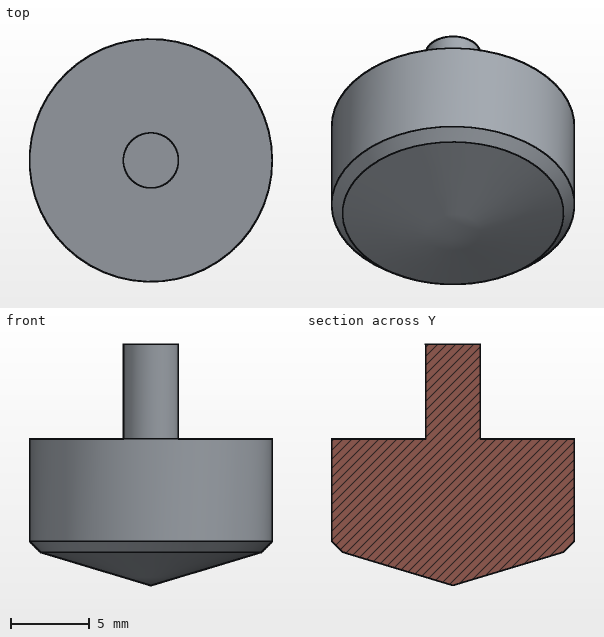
import cadquery as cq

total_height = 15.3
body_diameter = 15.4
stem_diameter = 3.5
stem_length = 6.0
chamfer_size = 0.7
cone_height = 2.11

body_radius = body_diameter / 2
stem_radius = stem_diameter / 2
cone_radius = body_radius - chamfer_size
body_bottom = cone_height + chamfer_size
body_top = total_height - stem_length

half_section = (
    cq.Workplane("XZ")
    .moveTo(0, 0)
    .lineTo(cone_radius, cone_height)
    .lineTo(body_radius, body_bottom)
    .lineTo(body_radius, body_top)
    .lineTo(stem_radius, body_top)
    .lineTo(stem_radius, total_height)
    .lineTo(0, total_height)
    .close()
)

result = half_section.revolve(360, (0, 0, 0), (0, 1, 0))